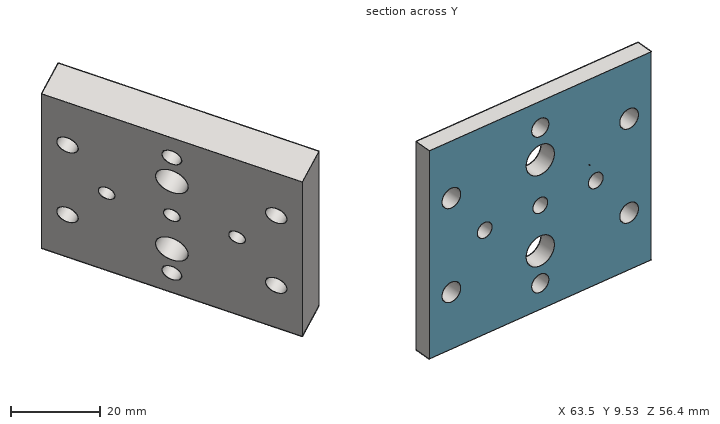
import cadquery as cq

PLATE_WIDTH = 63.5
PLATE_THICKNESS = 9.53
PLATE_HEIGHT = 56.36

MOUNT_DIAMETER = 5.21
MOUNT_SPACING_X = 50.8
MOUNT_SPACING_Z = 25.4

BORE_DIAMETER = 7.94
BORE_SPACING = 24.6

OUTER_DIAMETER = 4.76
OUTER_SPACING = 42.06

ROW_DIAMETER = 4.06
ROW_PITCH = 15.875


def make_plate():
    """Rectangular plate centred on the origin."""
    return cq.Workplane("XY").box(PLATE_WIDTH, PLATE_THICKNESS, PLATE_HEIGHT)


def drill_through(body, diameter, centres):
    """Drill holes along Y, right through the plate, at the given (x, z) centres."""
    drills = (
        cq.Workplane("XZ", origin=(0, PLATE_THICKNESS / 2, 0))
        .pushPoints(centres)
        .circle(diameter / 2)
        .extrude(PLATE_THICKNESS)
    )
    return body.cut(drills)


mount_centres = [
    (side * MOUNT_SPACING_X / 2, end * MOUNT_SPACING_Z / 2)
    for side in (-1, 1)
    for end in (-1, 1)
]
bore_centres = [(0, end * BORE_SPACING / 2) for end in (-1, 1)]
outer_centres = [(0, end * OUTER_SPACING / 2) for end in (-1, 1)]
row_centres = [(step * ROW_PITCH, 0) for step in (-1, 0, 1)]

result = make_plate()
result = drill_through(result, MOUNT_DIAMETER, mount_centres)
result = drill_through(result, BORE_DIAMETER, bore_centres)
result = drill_through(result, OUTER_DIAMETER, outer_centres)
result = drill_through(result, ROW_DIAMETER, row_centres)